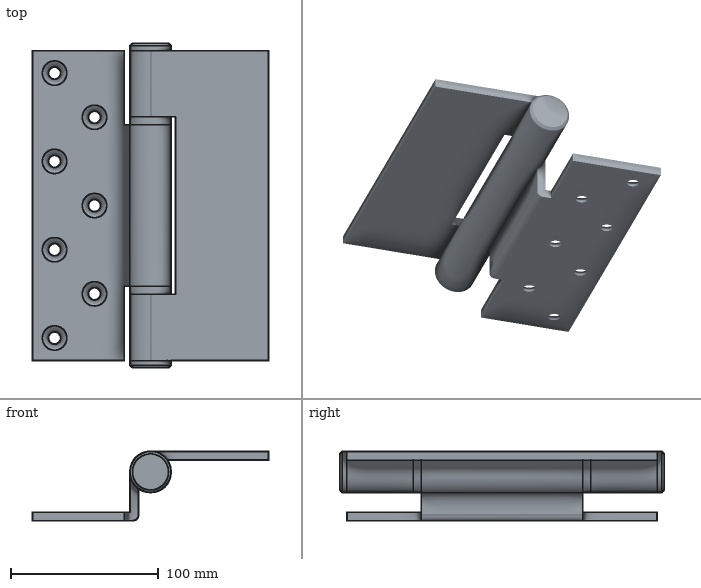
import cadquery as cq

overall_width = 160.0
overall_length = 220.0
overall_height = 47.0

leaf_length = 210.0
leaf_thickness = 6.0
barrel_diameter = 28.0
barrel_radius = barrel_diameter / 2
half_width = overall_width / 2
lower_knuckle_length = 109.5
slot_length = 120.1
slot_edge_x = 17.0
lower_plate_width = 62.3
bend_radius = 4.0

pin_diameter = 14.0
head_thickness = (overall_length - leaf_length) / 2
head_chamfer = 1.8

hole_diameter = 8.1
countersink_diameter = 16.5
countersink_angle = 90
hole_count = 7
hole_pitch = 30.0
outer_column_inset = 15.0
inner_column_inset = 42.0

washer_thickness = (slot_length - lower_knuckle_length) / 2
leaf_top_z = barrel_radius
lower_plate_bottom_z = barrel_radius - overall_height
lower_plate_top_z = lower_plate_bottom_z + leaf_thickness


def box_between(x_min, x_max, y_min, y_max, z_min, z_max):
    """Box given by its limits along each axis."""
    return cq.Workplane("XY").box(
        x_max - x_min, y_max - y_min, z_max - z_min, centered=False
    ).translate((x_min, y_min, z_min))


def cylinder_along_y(diameter, y_min, y_max):
    """Cylinder on the hinge axis between two Y positions."""
    return cq.Workplane("XZ", origin=(0, y_max, 0)).circle(diameter / 2).extrude(y_max - y_min)


def make_upper_leaf():
    """Flat leaf tangent to the top of its two end knuckles, slotted between them."""
    half_length = leaf_length / 2
    half_slot = slot_length / 2
    leaf = box_between(0, half_width, -half_length, half_length, leaf_top_z - leaf_thickness, leaf_top_z)
    leaf = leaf.union(cylinder_along_y(barrel_diameter, -half_length, half_length))
    slot = box_between(
        -barrel_radius, slot_edge_x, -half_slot, half_slot, -barrel_radius, barrel_radius
    )
    return leaf.cut(slot).cut(cylinder_along_y(pin_diameter, -half_length, half_length))


def make_lower_leaf():
    """Screw plate with an upright web that joins the middle knuckle."""
    half_length = leaf_length / 2
    half_knuckle = lower_knuckle_length / 2
    plate_edge_x = lower_plate_width - half_width
    plate = box_between(
        -half_width, plate_edge_x, -half_length, half_length, lower_plate_bottom_z, lower_plate_top_z
    )
    hole_points = []
    for index in range(hole_count):
        inset = outer_column_inset if index % 2 == 0 else inner_column_inset
        y = (index - (hole_count - 1) / 2) * hole_pitch
        hole_points.append((inset - half_width, y))
    plate = (
        cq.Workplane(plate.val())
        .copyWorkplane(cq.Workplane("XY", origin=(0, 0, lower_plate_top_z)))
        .pushPoints(hole_points)
        .cskHole(hole_diameter, countersink_diameter, countersink_angle)
    )

    web_outer_x = leaf_thickness - barrel_radius
    web = (
        cq.Workplane("XZ", origin=(0, half_knuckle, 0))
        .moveTo(plate_edge_x, lower_plate_bottom_z)
        .lineTo(web_outer_x - bend_radius, lower_plate_bottom_z)
        .radiusArc((web_outer_x, lower_plate_bottom_z + bend_radius), -bend_radius)
        .lineTo(web_outer_x, 0)
        .lineTo(-barrel_radius, 0)
        .lineTo(-barrel_radius, lower_plate_top_z)
        .lineTo(plate_edge_x, lower_plate_top_z)
        .close()
        .extrude(lower_knuckle_length)
    )
    knuckle = cylinder_along_y(barrel_diameter, -half_knuckle, half_knuckle)
    bore = cylinder_along_y(pin_diameter, -half_knuckle, half_knuckle)
    return plate.union(web).union(knuckle).cut(bore)


def make_washer(y_min):
    """Ring filling the space between neighbouring knuckles."""
    y_max = y_min + washer_thickness
    ring = cylinder_along_y(barrel_diameter, y_min, y_max)
    return ring.cut(cylinder_along_y(pin_diameter, y_min, y_max))


def make_pin():
    """Shank through all knuckles with a chamfered head at each end."""
    half_length = overall_length / 2
    half_leaf = leaf_length / 2
    shank = cylinder_along_y(pin_diameter, -half_leaf, half_leaf)
    front_head = cylinder_along_y(barrel_diameter, -half_length, head_thickness - half_length)
    front_head = front_head.faces("<Y").chamfer(head_chamfer)
    rear_head = front_head.mirror("XZ")
    return shank.union(front_head).union(rear_head)


upper_leaf = make_upper_leaf()
lower_leaf = make_lower_leaf()
washers = [make_washer(y_min) for y_min in (-slot_length / 2, lower_knuckle_length / 2)]
pin = make_pin()

result = cq.Compound.makeCompound([
    upper_leaf.solids().val(),
    lower_leaf.solids().val(),
    *[washer.solids().val() for washer in washers],
    pin.solids().val(),
])